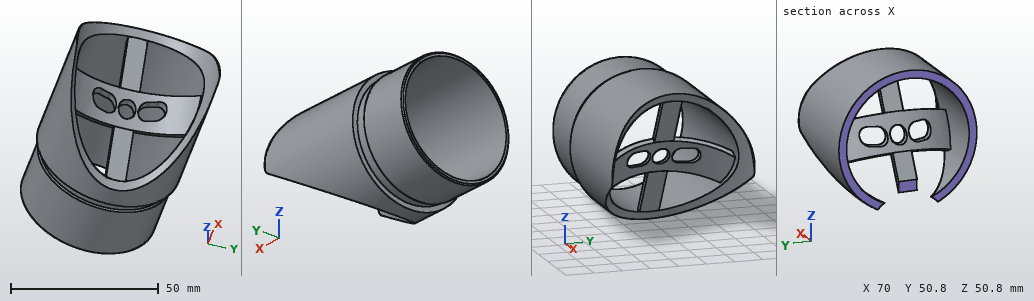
import cadquery as cq
import math

total_length = 70.0
tube_diameter = 50.8
bore_diameter = 44.8
plug_diameter = 47.8
plug_length = 20.45
plug_chamfer = 0.5
groove_diameter = 46.6
shoulder_x = 23.95
tube_radius = tube_diameter / 2
groove_step = (plug_diameter - groove_diameter) / 2

saddle_angle = 60.0
saddle_x = 74.6
saddle_radius = tube_radius
saddle_lean = math.radians(saddle_angle)
saddle_apex_x = saddle_x - saddle_radius / math.sin(saddle_lean)

tip_upper_radius = tube_radius
tip_lower_radius = 3.5

bracket_thickness = 2.0
bar_width = 6.85
band_width = 14.0
band_outer_radius = 31.5
band_inner_radius = band_outer_radius - bracket_thickness
bracket_fit_diameter = (bore_diameter + tube_diameter) / 2

hole_diameter = 6.0
slot_length = 9.1
slot_offset = 8.5

reach = 2 * total_length


def make_tube():
    """Turned blank: chamfered plug, groove, shoulder and full tube."""
    profile = [
        (0, 0),
        (0, plug_diameter / 2 - plug_chamfer),
        (plug_chamfer, plug_diameter / 2),
        (plug_length - groove_step, plug_diameter / 2),
        (plug_length, groove_diameter / 2),
        (shoulder_x, groove_diameter / 2),
        (shoulder_x, tube_radius),
        (saddle_x + tube_radius, tube_radius),
        (saddle_x + tube_radius, 0),
    ]
    return cq.Workplane("XY").polyline(profile).close().revolve(360, (0, 0), (1, 0))


def make_cylinder(diameter):
    """Long cylinder on the tube axis."""
    return cq.Workplane("YZ").circle(diameter / 2).extrude(reach)


def saddle_plane(x):
    """Plane square to the mating tube: local X points forward and down, Z runs along that tube."""
    return cq.Plane(
        origin=(x, 0, 0),
        xDir=(math.sin(saddle_lean), 0, -math.cos(saddle_lean)),
        normal=(math.cos(saddle_lean), 0, math.sin(saddle_lean)),
    )


def make_saddle_cutter():
    return cq.Workplane(saddle_plane(saddle_x)).circle(saddle_radius).extrude(reach, both=True)


def make_tip_envelope():
    """Side outline that blunts the tips: two saddle edges, joined by a flat with rounded corners."""
    flat_setback = saddle_x - total_length
    upper_corner_z = flat_setback * math.tan(saddle_lean)
    lower_corner_z = -flat_setback / math.tan(saddle_lean)
    upper_z = tube_diameter
    lower_z = -tube_diameter
    outline = [
        (-reach, upper_z),
        (saddle_x - upper_z / math.tan(saddle_lean), upper_z),
        (total_length, upper_corner_z),
        (total_length, lower_corner_z),
        (saddle_x + lower_z * math.tan(saddle_lean), lower_z),
        (-reach, lower_z),
    ]
    envelope = cq.Workplane("XZ").polyline(outline).close().extrude(tube_diameter, both=True)
    for corner_z, radius in ((upper_corner_z, tip_upper_radius), (lower_corner_z, tip_lower_radius)):
        corner = cq.selectors.NearestToPointSelector((total_length, 0, corner_z))
        envelope = envelope.edges("|Y").edges(corner).fillet(radius)
    return envelope


def make_bracket():
    """Flat bar along the saddle, interrupted by a curved band that crosses it."""
    apex = cq.Workplane(saddle_plane(saddle_apex_x))
    bar = apex.center(-bracket_thickness / 2, 0).rect(bracket_thickness, bar_width).extrude(reach, both=True)
    band = (
        apex.center(band_inner_radius, 0)
        .circle(band_outer_radius)
        .circle(band_inner_radius)
        .extrude(band_width / 2, both=True)
    )
    front_half = apex.rect(2 * band_inner_radius, reach).extrude(band_width, both=True)
    band_zone = apex.rect(reach, reach).extrude(band_width / 2, both=True)
    return bar.cut(band_zone).union(band.intersect(front_half))


def make_holes():
    """Round hole on the tube axis with a slot on each side, all along X."""
    hole = make_cylinder(hole_diameter)
    slots = (
        cq.Workplane("YZ")
        .pushPoints([(-slot_offset, 0), (slot_offset, 0)])
        .slot2D(slot_length, hole_diameter)
        .extrude(reach)
    )
    return hole.union(slots)


outside = make_tube().cut(make_saddle_cutter()).intersect(make_tip_envelope())
wall = outside.cut(make_cylinder(bore_diameter))
bracket = make_bracket().intersect(make_cylinder(bracket_fit_diameter)).cut(make_holes())
result = wall.union(bracket)